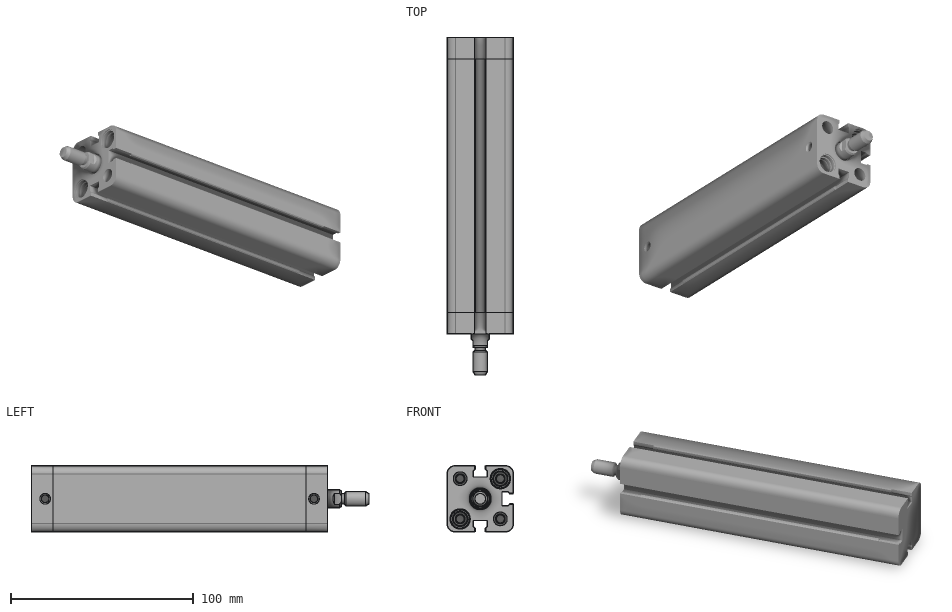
import cadquery as cq


body_width = 36.3
body_length = 162.0
cap_length = 11.75
tube_length = body_length - 2 * cap_length
corner_radius = 4.5
half_width = body_width / 2

slot_depth = 6.2
slot_width = 7.5
lip_thickness = 2.0
lip_taper = 0.8
cap_mouth_width = 6.1
tube_mouth_width = 5.1
tube_mouth_chamfer = (cap_mouth_width - tube_mouth_width) / 2
slot_angles = (0, 90, 180)

hole_offset = 11.0
socket_diameter = 7.5
socket_depth = 8.0
socket_steps = ((11.1, 0.6), (10.0, 2.7), (8.4, 4.6))
screw_hole_diameter = 4.4
screw_hole_mouth = 5.3
screw_hole_depth = 2.5

port_from_end = 7.5
port_diameter = 4.13
port_mouth_diameter = 5.8
port_depth = 6.0

rod_diameter = 10.0
rod_recess_steps = ((12.0, 0.5), (11.1, 2.0))
shank_length = 7.4
shank_chamfer_length = 1.0
shank_chamfer = 0.65
flat_start = 2.8
flats_width = 8.0
neck_diameter = 5.8
thread_diameter = 8.0
thread_start = 9.9
thread_lead_in = 0.8
rod_reach = 22.6
tip_diameter = 5.8
tip_length = 2.0


def slot_cutter(mouth_width, mouth_chamfer, start, length):
    """T-slot open at the top face, before it is turned to its own side."""
    mouth = mouth_width / 2
    inner = slot_width / 2
    lip_end = half_width - lip_thickness
    right_side = [
        (mouth + mouth_chamfer, half_width),
        (mouth, half_width - mouth_chamfer),
        (mouth, lip_end),
        (inner, lip_end - lip_taper),
        (inner, half_width - slot_depth),
    ]
    if not mouth_chamfer:
        right_side = right_side[1:]
    left_side = [(-x, z) for x, z in reversed(right_side)]
    profile = cq.Workplane("XZ", origin=(0, start, 0)).polyline(right_side + left_side).close()
    return profile.extrude(-length)


def profile_block(mouth_width, mouth_chamfer, start, length):
    """Square rounded bar along Y with three T-slots."""
    block = (
        cq.Workplane("XZ", origin=(0, start, 0))
        .rect(body_width, body_width)
        .extrude(-length)
        .edges("|Y")
        .fillet(corner_radius)
    )
    slot = slot_cutter(mouth_width, mouth_chamfer, start, length)
    for angle in slot_angles:
        block = block.cut(slot.rotate((0, 0, 0), (0, 1, 0), angle))
    return block


def bore(x, z, diameter, start, depth):
    return cq.Workplane("XZ", origin=(x, start, z)).circle(diameter / 2).extrude(-depth)


def taper(start_diameter, end_diameter, depth, start_point, direction):
    cone = cq.Solid.makeCone(
        start_diameter / 2, end_diameter / 2, depth, cq.Vector(*start_point), cq.Vector(*direction)
    )
    return cq.Workplane(cone)


def screw_hole(x, z):
    """Threaded screw hole in the floor of a corner socket."""
    lead_in = (screw_hole_mouth - screw_hole_diameter) / 2
    hole = bore(x, z, screw_hole_diameter, socket_depth, screw_hole_depth)
    floor_point = (x, socket_depth, z)
    return hole.union(taper(screw_hole_mouth, screw_hole_diameter, lead_in, floor_point, (0, 1, 0)))


def small_socket(x, z):
    return bore(x, z, socket_diameter, 0, socket_depth).union(screw_hole(x, z))


def large_socket(x, z):
    """Stepped socket that narrows from the mouth to the screw."""
    socket = bore(x, z, socket_diameter, 0, socket_depth)
    for diameter, depth in socket_steps:
        socket = socket.union(bore(x, z, diameter, 0, depth))
    return socket.union(screw_hole(x, z))


def port(y):
    """Chamfered port going into the -X face."""
    lead_in = (port_mouth_diameter - port_diameter) / 2
    hole = cq.Workplane("YZ", origin=(-half_width, y, 0)).circle(port_diameter / 2).extrude(port_depth)
    return hole.union(taper(port_mouth_diameter, port_diameter, lead_in, (-half_width, y, 0), (1, 0, 0)))


def make_cap(start, port_y):
    return profile_block(cap_mouth_width, 0, start, cap_length).cut(port(port_y))


def make_front_cap():
    cap = make_cap(0, port_from_end)
    for offset in (-hole_offset, hole_offset):
        cap = cap.cut(small_socket(offset, -offset))
        cap = cap.cut(large_socket(offset, offset))
    cap = cap.cut(bore(0, 0, rod_diameter, 0, cap_length))
    for diameter, depth in rod_recess_steps:
        cap = cap.cut(bore(0, 0, diameter, 0, depth))
    return cap


def make_tube():
    return profile_block(tube_mouth_width, tube_mouth_chamfer, cap_length, tube_length)


def make_rod():
    """Turned rod from the tube face to its chamfered thread end, with two wrench flats."""
    shank = rod_diameter / 2
    neck = neck_diameter / 2
    thread = thread_diameter / 2
    outline = [
        (0, cap_length),
        (shank, cap_length),
        (shank, shank_chamfer_length - shank_length),
        (shank - shank_chamfer, -shank_length),
        (neck, -shank_length),
        (neck, thread_lead_in - thread_start),
        (thread, -thread_start),
        (thread, tip_length - rod_reach),
        (tip_diameter / 2, -rod_reach),
        (0, -rod_reach),
    ]
    rod = cq.Workplane("XY").polyline(outline).close().revolve(360, (0, 0, 0), (0, 1, 0))
    flat = flats_width / 2
    run_out = shank - flat
    flat_outline = [
        (shank, -flat_start),
        (flat, -flat_start - run_out),
        (flat, -shank_length),
        (shank, -shank_length),
    ]
    flat_cutter = cq.Workplane("XY").polyline(flat_outline).close().extrude(shank, both=True)
    return rod.cut(flat_cutter).cut(flat_cutter.mirror("YZ"))


front_cap = make_front_cap()
tube = make_tube()
rear_cap = make_cap(body_length - cap_length, body_length - port_from_end)
rod = make_rod()

result = cq.Compound.makeCompound([front_cap.val(), tube.val(), rear_cap.val(), rod.val()])